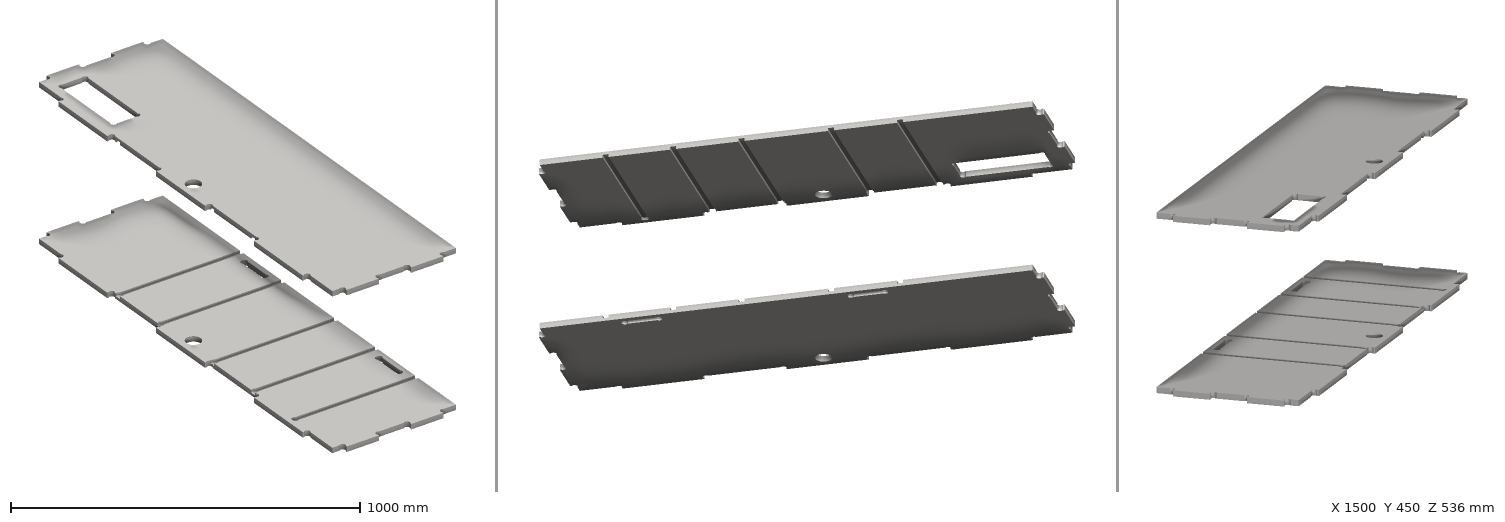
import cadquery as cq
import math

LENGTH = 1500.0
DEPTH = 450.0
HEIGHT = 536.0
BOARD = 18.0

BODY_LENGTH = LENGTH - 2 * BOARD
BODY_END = BODY_LENGTH / 2

SIDE_TAB = DEPTH / 4
SIDE_TAB_CENTERS = (DEPTH / 4, DEPTH * 3 / 4)
FRONT_TAB = BODY_LENGTH / 6
FRONT_TAB_CENTERS = (-2 * FRONT_TAB, 0.0, 2 * FRONT_TAB)

RELIEF_RADIUS = 9.5
RELIEF_OFFSET = RELIEF_RADIUS / math.sqrt(2)

GROOVE_WIDTH = BOARD
GROOVE_DEPTH = BOARD / 2
GROOVE_CENTERS = (-338.0, -133.0, 133.0, 336.0, 536.0)
OVERRUN = 2 * RELIEF_RADIUS

SLOT_BAYS = (GROOVE_CENTERS[0:2], GROOVE_CENTERS[3:5])
SLOT_LENGTH = 115.0
SLOT_WIDTH = BOARD
SLOT_BACK_MARGIN = BOARD

HOLE_DIAMETER = 50.0
HOLE_Y = DEPTH / 10

WINDOW_LENGTH = 272.0
WINDOW_WIDTH = 96.0
WINDOW_LEFT = -LENGTH / 2 + 68.0
WINDOW_FRONT = 50.0


def block(x0, x1, y0, y1, z0=0.0):
    """Box over the given rectangle, from z0 up to the top face of a board."""
    return cq.Workplane("XY").box(x1 - x0, y1 - y0, BOARD - z0, centered=False).translate((x0, y0, z0))


def relief(x, y, x_side, y_side, z0=0.0):
    """Round cutter through the corner (x, y), centred toward the open side."""
    center_x = x + x_side * RELIEF_OFFSET
    center_y = y + y_side * RELIEF_OFFSET
    return cq.Workplane("XY", origin=(center_x, center_y, z0)).circle(RELIEF_RADIUS).extrude(BOARD - z0)


def pocket(x0, x1, y0, y1, z0=0.0):
    """Rectangular cutter with a relief at each corner."""
    cutter = block(x0, x1, y0, y1, z0)
    for x, x_side in ((x0, 1), (x1, -1)):
        for y, y_side in ((y0, 1), (y1, -1)):
            cutter = cutter.union(relief(x, y, x_side, y_side, z0))
    return cutter


def tabbed_panel():
    """Flat panel with tabs on both ends and along the front."""
    panel = block(-BODY_END, BODY_END, BOARD, DEPTH)
    reliefs = []
    for center in SIDE_TAB_CENTERS:
        y0 = center - SIDE_TAB / 2
        y1 = center + SIDE_TAB / 2
        panel = panel.union(block(-LENGTH / 2, LENGTH / 2, y0, y1))
        for side in (-1, 1):
            reliefs.append(relief(side * BODY_END, y0, side, -1))
            reliefs.append(relief(side * BODY_END, y1, side, 1))
    for center in FRONT_TAB_CENTERS:
        x0 = center - FRONT_TAB / 2
        x1 = center + FRONT_TAB / 2
        panel = panel.union(block(x0, x1, 0, BOARD))
        reliefs.append(relief(x0, BOARD, -1, -1))
        reliefs.append(relief(x1, BOARD, 1, -1))
    for cutter in reliefs:
        panel = panel.cut(cutter)
    return panel


def grooved_board():
    """Tabbed panel with the divider grooves in its upper face and the round hole."""
    board = tabbed_panel()
    for center in GROOVE_CENTERS:
        x0 = center - GROOVE_WIDTH / 2
        board = board.cut(pocket(x0, x0 + GROOVE_WIDTH, BOARD, DEPTH + OVERRUN, BOARD - GROOVE_DEPTH))
    hole = cq.Workplane("XY").center(0, HOLE_Y).circle(HOLE_DIAMETER / 2).extrude(BOARD)
    return board.cut(hole)


def bottom_board():
    """Grooves face up; two slots near the back edge."""
    board = grooved_board()
    slot_back = DEPTH - SLOT_BACK_MARGIN
    for left_groove, right_groove in SLOT_BAYS:
        x0 = (left_groove + right_groove - SLOT_LENGTH) / 2
        board = board.cut(pocket(x0, x0 + SLOT_LENGTH, slot_back - SLOT_WIDTH, slot_back))
    return board


def top_board():
    """Grooves face down, matching the bottom board; a window at the front left."""
    board = grooved_board().mirror("XY").translate((0, 0, BOARD))
    window = pocket(WINDOW_LEFT, WINDOW_LEFT + WINDOW_LENGTH, WINDOW_FRONT, WINDOW_FRONT + WINDOW_WIDTH)
    return board.cut(window).translate((0, 0, HEIGHT - BOARD))


bottom = bottom_board()
top = top_board()
result = cq.Compound.makeCompound([bottom.val(), top.val()])